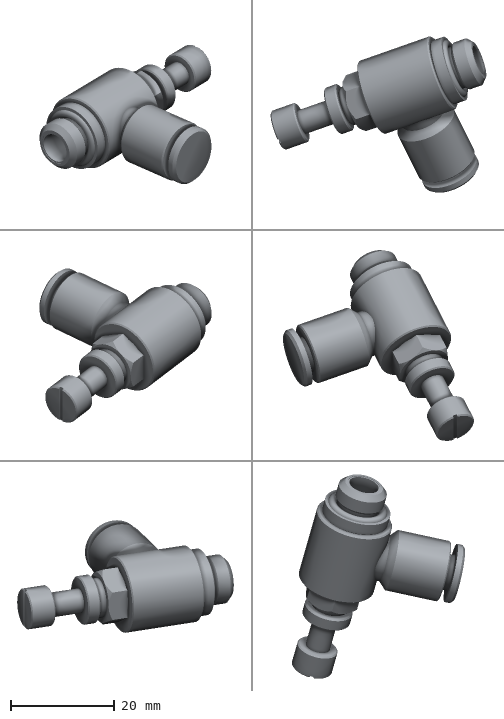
import cadquery as cq


OVERALL_LENGTH = 42.15
OVERALL_WIDTH = 30.1

BODY_RADIUS = 7.5
BODY_HALF_LENGTH = 7.5
EDGE_CHAMFER = 0.25

GAP_WIDTH = 0.15
GAP_RADIUS = 4.97

HEX_ACROSS_FLATS = 10.0
HEX_TOP = 11.55

NECK_RADIUS = 3.9
NECK_ROUNDING = 0.85
NUT_BOTTOM = 13.05
NUT_HEIGHT = 2.57
NUT_RADIUS = 4.75

STEM_RADIUS = 2.4
HEAD_RADIUS = 4.0
HEAD_TOP = 27.15
HEAD_HEIGHT = 5.0
SLOT_WIDTH = 0.8
SLOT_DEPTH = 0.42

COLLAR_RADIUS = 6.55
COLLAR_BOTTOM = -9.9
COLLAR_CHAMFER = 0.15
THREAD_RELIEF_RADIUS = 4.2
SEAL_SECTION_RADIUS = 0.85
SEAL_CENTER_RADIUS = THREAD_RELIEF_RADIUS + SEAL_SECTION_RADIUS
SEAL_BOTTOM = -10.55

THREAD_RADIUS = 4.8
THREAD_TOP = -10.87
THREAD_BOTTOM = HEAD_TOP - OVERALL_LENGTH
THREAD_TIP_CHAMFER = 1.05

BORE_RADIUS = 2.9
MOUTH_RADIUS = 3.2
MOUTH_DEPTH = 0.1
BORE_FLOOR = -BODY_HALF_LENGTH
PASSAGE_RADIUS = 1.4

BRANCH_NECK_RADIUS = 4.5
BRANCH_CONE_START = 7.75
BRANCH_RADIUS = 6.0
BRANCH_END = 19.7
SLEEVE_RADIUS = 3.55
FLANGE_RADIUS = 5.77
FLANGE_START = 21.05
FLANGE_CHAMFER = 0.5
FLANGE_ROOT_FILLET = 0.2
FLANGE_END = OVERALL_WIDTH - BODY_RADIUS


def cylinder_y(radius, start, end):
    """Cylinder on the valve axis from Y = start up to Y = end."""
    return cq.Workplane("XZ", origin=(0, start, 0)).circle(radius).extrude(start - end)


def cylinder_x(radius, start, end):
    """Cylinder on the branch axis from X = start to X = end."""
    return cq.Workplane("YZ", origin=(start, 0, 0)).circle(radius).extrude(end - start)


def make_body():
    body = cylinder_y(BODY_RADIUS, -BODY_HALF_LENGTH, BODY_HALF_LENGTH)
    return body.edges().chamfer(EDGE_CHAMFER)


def make_hexagon():
    """Hexagonal prism whose upper corners are cut by a 45-degree cone."""
    bottom = BODY_HALF_LENGTH + GAP_WIDTH
    flat_radius = HEX_ACROSS_FLATS / 2
    prism = (
        cq.Workplane("XZ", origin=(0, bottom, 0))
        .polygon(6, HEX_ACROSS_FLATS, circumscribed=True)
        .extrude(bottom - HEX_TOP)
    )
    cone_height = HEX_TOP - bottom
    cone = (
        cq.Workplane("XY")
        .moveTo(0, bottom)
        .lineTo(flat_radius + cone_height, bottom)
        .lineTo(flat_radius, HEX_TOP)
        .lineTo(0, HEX_TOP)
        .close()
        .revolve(360, (0, 0, 0), (0, 1, 0))
    )
    gap = cylinder_y(GAP_RADIUS, BODY_HALF_LENGTH, bottom)
    return prism.intersect(cone).union(gap)


def make_neck_and_nut():
    neck = cylinder_y(NECK_RADIUS, HEX_TOP, NUT_BOTTOM).faces(">Y").edges().fillet(NECK_ROUNDING)
    nut = cylinder_y(NUT_RADIUS, NUT_BOTTOM, NUT_BOTTOM + NUT_HEIGHT).edges().chamfer(EDGE_CHAMFER)
    return neck.union(nut)


def make_screw():
    """Stem and round head with a screwdriver slot running along Z."""
    head_bottom = HEAD_TOP - HEAD_HEIGHT
    stem = cylinder_y(STEM_RADIUS, NUT_BOTTOM + NUT_HEIGHT, head_bottom)
    head = cylinder_y(HEAD_RADIUS, head_bottom, HEAD_TOP).edges().chamfer(EDGE_CHAMFER)
    slot = cq.Workplane("XY").box(SLOT_WIDTH, 2 * SLOT_DEPTH, 2 * HEAD_RADIUS)
    return stem.union(head.cut(slot.translate((0, HEAD_TOP, 0))))


def make_collar_and_seal():
    collar = cylinder_y(COLLAR_RADIUS, COLLAR_BOTTOM, -BODY_HALF_LENGTH)
    collar = collar.faces(">Y").edges().chamfer(COLLAR_CHAMFER)
    seal = (
        cq.Workplane("XY")
        .center(SEAL_CENTER_RADIUS, SEAL_BOTTOM + SEAL_SECTION_RADIUS)
        .circle(SEAL_SECTION_RADIUS)
        .revolve(360, (-SEAL_CENTER_RADIUS, 0, 0), (-SEAL_CENTER_RADIUS, 1, 0))
    )
    return collar.union(seal)


def make_threaded_end():
    relief = cylinder_y(THREAD_RELIEF_RADIUS, THREAD_TOP, COLLAR_BOTTOM)
    thread = (
        cylinder_y(THREAD_RADIUS, THREAD_BOTTOM, THREAD_TOP)
        .faces("<Y").edges().chamfer(THREAD_TIP_CHAMFER)
        .faces(">Y").edges().chamfer(THREAD_RADIUS - THREAD_RELIEF_RADIUS)
    )
    return relief.union(thread)


def make_bore():
    """Blind bore with a shallow step at its mouth, and a narrower passage that ends at the branch axis."""
    mouth = cylinder_y(MOUTH_RADIUS, THREAD_BOTTOM, THREAD_BOTTOM + MOUTH_DEPTH)
    bore = cylinder_y(BORE_RADIUS, THREAD_BOTTOM, BORE_FLOOR)
    passage = cylinder_y(PASSAGE_RADIUS, BORE_FLOOR, 0)
    return mouth.union(bore).union(passage)


def make_branch():
    """Neck, 45-degree shoulder, barrel, sleeve and chamfered release flange."""
    neck = cylinder_x(BRANCH_NECK_RADIUS, 0, BRANCH_CONE_START)
    barrel = (
        cylinder_x(BRANCH_RADIUS, BRANCH_CONE_START, BRANCH_END)
        .faces("<X").edges().chamfer(BRANCH_RADIUS - BRANCH_NECK_RADIUS)
        .faces(">X").edges().chamfer(EDGE_CHAMFER)
    )
    sleeve = cylinder_x(SLEEVE_RADIUS, BRANCH_END, FLANGE_START)
    flange = cylinder_x(FLANGE_RADIUS, FLANGE_START, FLANGE_END).faces(">X").edges().chamfer(FLANGE_CHAMFER)
    release_collar = sleeve.union(flange)
    root_edge = release_collar.faces("|X").faces("<X[1]").edges(cq.selectors.RadiusNthSelector(0))
    release_collar = root_edge.fillet(FLANGE_ROOT_FILLET)
    return neck.union(barrel).union(release_collar)


result = (
    make_body()
    .union(make_hexagon())
    .union(make_neck_and_nut())
    .union(make_screw())
    .union(make_collar_and_seal())
    .union(make_threaded_end())
    .union(make_branch())
    .cut(make_bore())
)